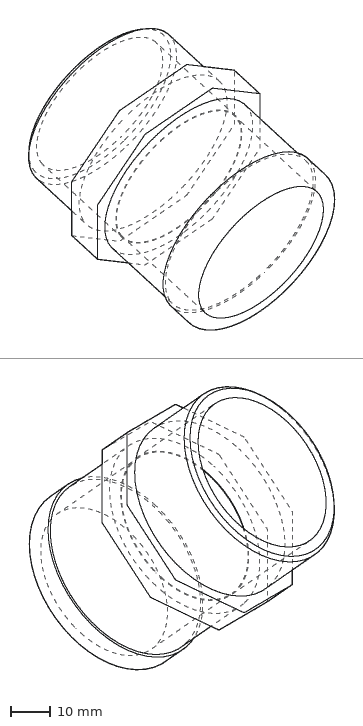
import cadquery as cq

length = 63.15
body_diameter = 50.0
end_chamfer_depth = 1.0
end_chamfer_length = 1.15

grip_start = 20.9
grip_width = 10.05
grip_across_flats = 55.0
grip_edge_radius = 0.6

collar_diameter = 51.5
collar_length = 8.5
collar_edge_radius = 1.6

near_bore_diameter = 42.6
far_bore_diameter = 42.2
near_bore_depth = grip_start + grip_width


def cylinder(start, size, diameter):
    """Cylinder along X beginning at x = start."""
    return cq.Workplane("YZ", origin=(start, 0, 0)).circle(diameter / 2).extrude(size)


def make_body():
    """Tube outside, stopping short of the collar's rounded rim, with a tapered plain end."""
    body_length = length - collar_edge_radius
    radius = body_diameter / 2
    profile = (
        cq.Workplane("XY")
        .moveTo(0, 0)
        .lineTo(0, radius - end_chamfer_depth)
        .lineTo(end_chamfer_length, radius)
        .lineTo(body_length, radius)
        .lineTo(body_length, 0)
        .close()
    )
    return profile.revolve(360, (0, 0, 0), (1, 0, 0))


def make_grip():
    """Octagon with flats square to Y and Z: a square crossed with a turned square."""
    square = cq.Workplane("YZ", origin=(grip_start, 0, 0)).rect(grip_across_flats, grip_across_flats)
    block = square.extrude(grip_width)
    turned_block = block.rotate((0, 0, 0), (1, 0, 0), 45)
    return block.intersect(turned_block).edges("|X").fillet(grip_edge_radius)


def make_collar():
    collar = cylinder(length - collar_length, collar_length, collar_diameter)
    return collar.faces(">X").edges().fillet(collar_edge_radius)


def make_bore():
    near_bore = cylinder(0, near_bore_depth, near_bore_diameter)
    far_bore = cylinder(0, length, far_bore_diameter)
    return near_bore.union(far_bore)


result = make_body().union(make_grip()).union(make_collar()).cut(make_bore())